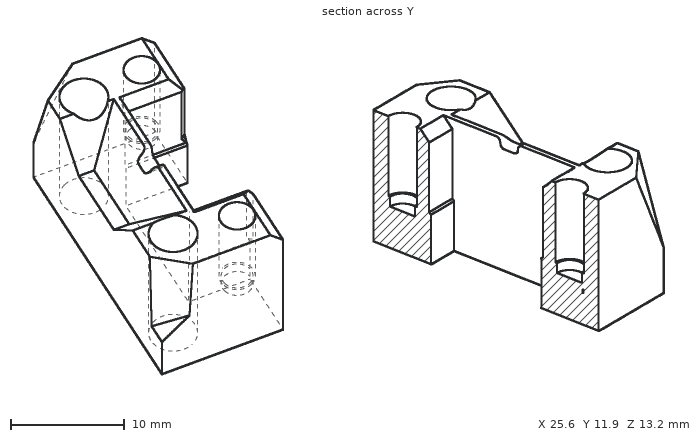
import cadquery as cq

length = 25.64
depth = 11.86
height = 13.2
mid_x = length / 2
overcut = 1.0

bay_width = 12.5
bay_front_y = 5.82
ledge = 0.2
ledge_z = 5.0
tower_chamfer = 1.25
mouth_width = 14.94
upper_bay_width = bay_width + 2 * ledge
bevel_drop = (mouth_width - upper_bay_width) / 2

corner_clip_x = 0.38
corner_clip_y = 0.48
corner_foot_rise = 0.69

pocket_left_x = 5.3
pocket_right_x = 19.82
pocket_back_y = 5.26
pocket_depth = 3.76

notch_width = 2.0
notch_depth = 1.0
notch_radius = 0.48

bolt_diameter = 4.3
bolt_inset = 3.93
bolt_y = 3.02
pin_diameter = 3.2
pin_end_diameter = 2.8
pin_inset = 3.32
pin_y = 8.98
pin_depth = 8.0
pin_end_depth = 1.0

left_facet_x = 2.9
left_facet_y = 3.83
left_facet_bottom_z = 4.55

right_facet_x = 2.4
right_facet_y = 3.03
right_facet_foot_x = 2.05
right_foot_z = 4.3
right_foot_y = 2.7
right_foot_rise = 2.2


def prism_along_y(points, y_start, y_end):
    """Extrude an XZ outline from y_start to y_end."""
    plane = cq.Workplane("XZ", origin=(0, y_start, 0))
    return plane.polyline(points).close().extrude(y_start - y_end)


def beyond_plane(points, outward, size):
    """Slab lying on the plane through three points, on the side that outward points to."""
    first, second, third = (cq.Vector(*point) for point in points)
    normal = (second - first).cross(third - first)
    if normal.dot(cq.Vector(*outward)) < 0:
        normal = normal * -1
    centre = (first + second + third) * (1 / 3)
    plane = cq.Plane(origin=centre.toTuple(), xDir=(second - first).toTuple(), normal=normal.toTuple())
    return cq.Workplane(plane).rect(size, size).extrude(size)


def mirrored_pair(body):
    """The body together with its mirror image about the middle of the length."""
    return body.union(body.mirror("YZ", (mid_x, 0, 0)))


def bay():
    """Space between the towers, with bevelled mouth and slightly narrower foot."""
    half_foot = bay_width / 2
    half_upper = upper_bay_width / 2
    half_mouth = mouth_width / 2
    half_outline = [
        (half_foot, -overcut),
        (half_foot, ledge_z),
        (half_upper, ledge_z + ledge),
        (half_upper, height - bevel_drop),
        (half_mouth, height),
        (half_mouth, height + overcut),
    ]
    right_side = [(mid_x + x, z) for x, z in half_outline]
    left_side = [(mid_x - x, z) for x, z in reversed(half_outline)]
    return prism_along_y(right_side + left_side, bay_front_y, depth + overcut)


def tower_corner_clips():
    """Vertical cuts at the back inner corners of the towers, sloping out again above the ledge."""
    wall_x = mid_x - upper_bay_width / 2
    foot_bottom_z = ledge_z + ledge
    foot_top_z = foot_bottom_z + corner_foot_rise
    on_back_face = (wall_x - corner_clip_x, depth, foot_top_z)
    on_bay_wall = (wall_x, depth - corner_clip_y, foot_top_z)
    above = (wall_x, depth - corner_clip_y, height)
    foot_corner = (wall_x, depth, foot_bottom_z)
    upright = beyond_plane([on_back_face, on_bay_wall, above], (1, 1, 0), length)
    foot = beyond_plane([on_back_face, on_bay_wall, foot_corner], (0, 0, 1), length)
    reach = cq.Workplane().box(wall_x, depth + overcut, height + overcut, centered=False)
    return mirrored_pair(upright.intersect(foot).intersect(reach))


def pocket():
    """Front pocket: 45 degree sides and back around a flat floor."""
    floor_z = height - pocket_depth
    sides = prism_along_y(
        [
            (pocket_left_x - overcut, height + overcut),
            (pocket_left_x + pocket_depth, floor_z),
            (pocket_right_x - pocket_depth, floor_z),
            (pocket_right_x + overcut, height + overcut),
        ],
        -overcut,
        depth,
    )
    back = (
        cq.Workplane("YZ")
        .polyline(
            [
                (-overcut, floor_z),
                (pocket_back_y - pocket_depth, floor_z),
                (pocket_back_y + overcut, height + overcut),
                (-overcut, height + overcut),
            ]
        )
        .close()
        .extrude(length)
    )
    return sides.intersect(back)


def notch():
    """Slot through the top of the wall, with rounded bottom and rounded lips."""
    half_width = notch_width / 2
    bottom_z = height - notch_depth
    lip_x = half_width + notch_radius
    flat_x = half_width - notch_radius
    return (
        cq.Workplane("XZ", origin=(mid_x, 0, 0))
        .moveTo(-lip_x, height)
        .radiusArc((-half_width, height - notch_radius), notch_radius)
        .lineTo(-half_width, bottom_z + notch_radius)
        .radiusArc((-flat_x, bottom_z), -notch_radius)
        .lineTo(flat_x, bottom_z)
        .radiusArc((half_width, bottom_z + notch_radius), -notch_radius)
        .lineTo(half_width, height - notch_radius)
        .radiusArc((lip_x, height), notch_radius)
        .close()
        .extrude(-bay_front_y - overcut)
    )


def drill(x, y, diameter, hole_depth):
    """Cylinder going down from the top face."""
    return cq.Workplane(origin=(x, y, height)).circle(diameter / 2).extrude(-hole_depth)


def bolt_holes():
    return mirrored_pair(drill(bolt_inset, bolt_y, bolt_diameter, height))


def pin_holes():
    """Blind holes that narrow near the bottom."""
    wide = drill(pin_inset, pin_y, pin_diameter, pin_depth)
    narrow = drill(pin_inset, pin_y, pin_end_diameter, pin_depth + pin_end_depth)
    return mirrored_pair(wide.union(narrow))


def left_front_facet():
    facet_points = [
        (left_facet_x, 0, height),
        (0, left_facet_y, height),
        (0, 0, left_facet_bottom_z),
    ]
    return beyond_plane(facet_points, (-1, -1, 1), length)


def right_front_facet():
    """Wedge above the sloping foot and outside the steep facet."""
    foot_point = (length - right_facet_foot_x, 0, right_foot_z)
    steep = beyond_plane(
        [(length - right_facet_x, 0, height), (length, right_facet_y, height), foot_point],
        (1, -1, 0),
        length,
    )
    foot = beyond_plane(
        [
            foot_point,
            (length, 0, right_foot_z),
            (length, right_foot_y, right_foot_z + right_foot_rise),
        ],
        (0, 0, 1),
        length,
    )
    return steep.intersect(foot)


result = cq.Workplane().box(length, depth, height, centered=False)
result = result.edges(">Y and >Z").chamfer(tower_chamfer)
for cutter in (
    bay(),
    tower_corner_clips(),
    pocket(),
    notch(),
    bolt_holes(),
    pin_holes(),
    left_front_facet(),
    right_front_facet(),
):
    result = result.cut(cutter)